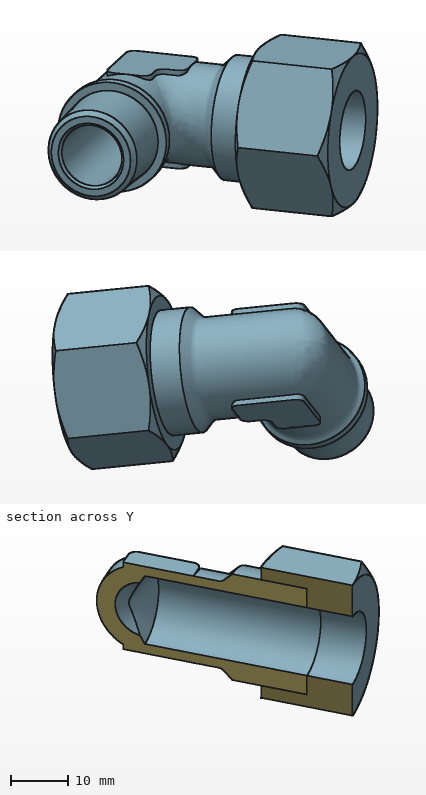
import cadquery as cq
import math


arm_radius = 9.0
outer_bend_fillet = 4.5
inner_bend_fillet = 4.0

cone_angle = math.radians(45)
foot_radius = 1.5

collar_radius = 11.0
collar_start = 16.2
collar_end = 30.05

flange_radius = 10.0
flange_start = 15.35
flange_end = 17.05
stub_base_radius = 8.5
stub_taper = 1 / 32
stub_end = 28.45
stub_chamfer = 0.85

nut_bore_radius = 7.0
stub_bore_radius = 5.55
bore_chamfer = 0.5
drill_tip_angle = math.radians(118)

pad_half_width = 4.05
pad_reach = 9.0
pad_corner_radius = 1.5

nut_start = 21.5
nut_end = 38.5
nut_across_flats = 27.0
nut_corner_chamfer_angle = math.radians(30)
nut_corner_radius = nut_across_flats / math.sqrt(3)


def turned(profile):
    """Close a profile drawn from axis to axis and turn it about the X axis."""
    return profile.close().revolve(360, (0, 0, 0), (1, 0, 0))


def along_stub(body):
    """Swing a body built along +X round to -Y."""
    return body.rotate((0, 0, 0), (0, 0, 1), -90)


def arm_profile(wide_start, wide_radius):
    """Outline of an arm, from its closed end to the start of its wide part."""
    cone_foot = wide_start - (wide_radius - arm_radius) / math.tan(cone_angle)
    arc_start = cone_foot - foot_radius * math.tan(cone_angle / 2)

    def arc_point(angle):
        run = foot_radius * math.sin(angle)
        rise = foot_radius * (1 - math.cos(angle))
        return (arc_start + run, arm_radius + rise)

    return (
        cq.Workplane("XY")
        .moveTo(-arm_radius, 0)
        .lineTo(-arm_radius, arm_radius)
        .lineTo(arc_start, arm_radius)
        .threePointArc(arc_point(cone_angle / 2), arc_point(cone_angle))
        .lineTo(wide_start, wide_radius)
    )


def nut_arm():
    return turned(
        arm_profile(collar_start, collar_radius)
        .lineTo(collar_end, collar_radius)
        .lineTo(collar_end, 0)
    )


def stub_arm():
    chamfer_start = stub_end - stub_chamfer
    tip_radius = stub_base_radius - stub_taper * (chamfer_start - flange_end)
    return along_stub(
        turned(
            arm_profile(flange_start, flange_radius)
            .lineTo(flange_end, flange_radius)
            .lineTo(flange_end, stub_base_radius)
            .lineTo(chamfer_start, tip_radius)
            .lineTo(stub_end, tip_radius - stub_chamfer)
            .lineTo(stub_end, 0)
        )
    )


def mitre_side(corner_x, corner_y):
    """Large wedge on the side of the mitre plane y = -x where the given corner lies."""
    size = 2 * nut_end
    outline = [(-size, size), (corner_x * size, corner_y * size), (size, -size)]
    return cq.Workplane("XY").polyline(outline).close().extrude(size, both=True)


def pads():
    """L-shaped prism through the bend, whose ends are the two pads."""
    half, reach = pad_half_width, pad_reach
    outline = [(-half, half), (reach, half), (reach, -half), (half, -half), (half, -reach), (-half, -reach)]
    prism = cq.Workplane("XY").polyline(outline).close().extrude(arm_radius, both=True)
    return prism.edges("|Z").fillet(pad_corner_radius)


def mitre_edges(body, side):
    """Elliptical edges of the mitre on the inner (side = 1) or outer (side = -1) of the bend."""
    return [edge for edge in body.edges("%ELLIPSE").vals() if side * edge.Center().x > 0]


def bore(radius, end):
    """Drilled hole along +X with a conical tip beyond the origin."""
    tip_length = radius / math.tan(drill_tip_angle / 2)
    return turned(
        cq.Workplane("XY")
        .moveTo(-tip_length, 0)
        .lineTo(0, radius)
        .lineTo(end, radius)
        .lineTo(end, 0)
    )


def stub_mouth_chamfer():
    """Cone that bevels the mouth of the stub bore."""
    return along_stub(
        turned(
            cq.Workplane("XY")
            .moveTo(stub_end - bore_chamfer, 0)
            .lineTo(stub_end - bore_chamfer, stub_bore_radius)
            .lineTo(stub_end, stub_bore_radius + bore_chamfer)
            .lineTo(stub_end, 0)
        )
    )


def make_elbow():
    nut_half = nut_arm().intersect(mitre_side(1, 1))
    stub_half = stub_arm().intersect(mitre_side(-1, -1))
    body = nut_half.union(stub_half).union(pads())
    body = body.newObject(mitre_edges(body, -1)).fillet(outer_bend_fillet)
    body = body.newObject(mitre_edges(body, 1)).fillet(inner_bend_fillet)
    body = body.cut(bore(nut_bore_radius, collar_end))
    body = body.cut(along_stub(bore(stub_bore_radius, stub_end)))
    return body.cut(stub_mouth_chamfer())


def make_nut():
    hexagon = (
        cq.Workplane("YZ")
        .workplane(offset=nut_start)
        .polygon(6, 2 * nut_corner_radius)
        .extrude(nut_end - nut_start)
    )
    face_radius = nut_across_flats / 2
    chamfer_length = (nut_corner_radius - face_radius) * math.tan(nut_corner_chamfer_angle)
    bevelled_blank = turned(
        cq.Workplane("XY")
        .moveTo(nut_start, 0)
        .lineTo(nut_start, face_radius)
        .lineTo(nut_start + chamfer_length, nut_corner_radius)
        .lineTo(nut_end - chamfer_length, nut_corner_radius)
        .lineTo(nut_end, face_radius)
        .lineTo(nut_end, 0)
    )
    collar_recess = (
        cq.Workplane("YZ").workplane(offset=nut_start).circle(collar_radius).extrude(collar_end - nut_start)
    )
    tube_opening = cq.Workplane("YZ").circle(nut_bore_radius).extrude(nut_end)
    return hexagon.intersect(bevelled_blank).cut(collar_recess).cut(tube_opening)


elbow = make_elbow()
nut = make_nut()
result = cq.Compound.makeCompound([elbow.solids().val(), nut.solids().val()])